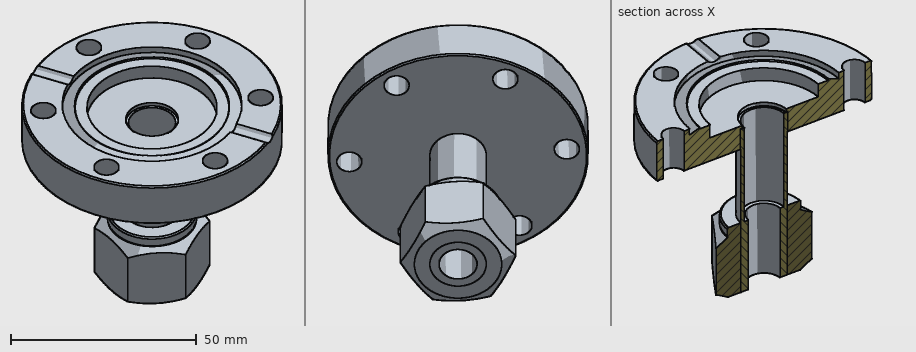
import cadquery as cq
import math

TOTAL_HEIGHT = 59.4
CUT_MARGIN = 0.7

FLANGE_DIAMETER = 70.0
FLANGE_THICKNESS = 13.0
FLANGE_CHAMFER = 0.4
SEAL_RECESS_DIAMETER = 48.3
SEAL_RECESS_DEPTH = 1.9
KNIFE_EDGE_DIAMETER = 41.7
KNIFE_EDGE_DEPTH = 0.8
KNIFE_FOOT_DIAMETER = 41.3
LAND_DEPTH = 1.2
POCKET_DIAMETER = 35.0
POCKET_DEPTH = 5.3
LIP_DIAMETER = 14.15
LIP_THICKNESS = 1.1

BOLT_COUNT = 6
BOLT_HOLE_DIAMETER = 6.7
BOLT_CIRCLE_DIAMETER = 58.65
GROOVE_WIDTH = 3.9
GROOVE_DEPTH = 0.9

TUBE_DIAMETER = 15.2
TUBE_BORE = 12.7
TUBE_END_BORE = 10.2

NUT_TOP_DEPTH = 36.75
NUT_SIDES = 6
NUT_ACROSS_FLATS = 27.0
NUT_CHAMFER_ANGLE = 30.0
NUT_END_DIAMETER = 23.5
COLLAR_DIAMETER = 24.0
COLLAR_HEIGHT = 3.0
COLLAR_CHAMFER = 0.4

tube_top_z = -(POCKET_DEPTH + LIP_THICKNESS)
nut_top_z = -NUT_TOP_DEPTH
hex_top_z = nut_top_z - COLLAR_HEIGHT
bottom_z = -TOTAL_HEIGHT


def cylinder(diameter, z_low, z_high):
    return cq.Workplane("XY", origin=(0, 0, z_low)).circle(diameter / 2).extrude(z_high - z_low)


def revolve_profile(points):
    """Revolve a closed (radius, z) outline about the Z axis."""
    return cq.Workplane("XZ").polyline(points).close().revolve(360, (0, 0, 0), (0, 1, 0))


def make_seal_cutter():
    """Recess, knife edge, inner land and central pocket as one turned shape."""
    return revolve_profile([
        (0, CUT_MARGIN),
        (SEAL_RECESS_DIAMETER / 2, CUT_MARGIN),
        (SEAL_RECESS_DIAMETER / 2, -SEAL_RECESS_DEPTH),
        (KNIFE_EDGE_DIAMETER / 2, -KNIFE_EDGE_DEPTH),
        (KNIFE_FOOT_DIAMETER / 2, -LAND_DEPTH),
        (POCKET_DIAMETER / 2, -LAND_DEPTH),
        (POCKET_DIAMETER / 2, -POCKET_DEPTH),
        (0, -POCKET_DEPTH),
    ])


def make_groove_cutter():
    """Round-bottomed channel along X that crosses both sides of the rim."""
    radius = ((GROOVE_WIDTH / 2) ** 2 + GROOVE_DEPTH ** 2) / (2 * GROOVE_DEPTH)
    length = FLANGE_DIAMETER + 2 * CUT_MARGIN
    return (
        cq.Workplane("YZ", origin=(-length / 2, 0, 0))
        .center(0, radius - GROOVE_DEPTH)
        .circle(radius)
        .extrude(length)
    )


def make_flange():
    flange = cylinder(FLANGE_DIAMETER, -FLANGE_THICKNESS, 0).faces("<Z or >Z").edges().chamfer(FLANGE_CHAMFER)

    grooves = make_groove_cutter().cut(cylinder(SEAL_RECESS_DIAMETER, -FLANGE_THICKNESS, CUT_MARGIN))
    flange = flange.cut(grooves).cut(make_seal_cutter())

    flange = flange.cut(cylinder(LIP_DIAMETER, -FLANGE_THICKNESS, 0))
    flange = flange.cut(cylinder(TUBE_DIAMETER, -FLANGE_THICKNESS, tube_top_z))

    bolt_holes = (
        cq.Workplane("XY", origin=(0, 0, -FLANGE_THICKNESS))
        .polarArray(BOLT_CIRCLE_DIAMETER / 2, 90, 360, BOLT_COUNT)
        .circle(BOLT_HOLE_DIAMETER / 2)
        .extrude(FLANGE_THICKNESS)
    )
    return flange.cut(bolt_holes)


def make_tube():
    """Tube whose bore narrows where the nut surrounds it."""
    tube = cylinder(TUBE_DIAMETER, bottom_z, tube_top_z)
    tube = tube.cut(cylinder(TUBE_BORE, nut_top_z, tube_top_z))
    return tube.cut(cylinder(TUBE_END_BORE, bottom_z, nut_top_z))


def make_nut():
    corner_diameter = NUT_ACROSS_FLATS / math.cos(math.pi / NUT_SIDES)
    hexagon = (
        cq.Workplane("XY", origin=(0, 0, bottom_z))
        .transformed(rotate=(0, 0, 90))
        .polygon(NUT_SIDES, corner_diameter)
        .extrude(hex_top_z - bottom_z)
    )

    end_radius = NUT_END_DIAMETER / 2
    cone_radius = corner_diameter / 2 + CUT_MARGIN
    cone_height = (cone_radius - end_radius) * math.tan(math.radians(NUT_CHAMFER_ANGLE))
    envelope = revolve_profile([
        (0, bottom_z),
        (end_radius, bottom_z),
        (cone_radius, bottom_z + cone_height),
        (cone_radius, hex_top_z - cone_height),
        (end_radius, hex_top_z),
        (0, hex_top_z),
    ])

    collar = cylinder(COLLAR_DIAMETER, hex_top_z, nut_top_z).faces(">Z").edges().chamfer(COLLAR_CHAMFER)
    nut = hexagon.intersect(envelope).union(collar)
    return nut.cut(cylinder(TUBE_DIAMETER, bottom_z, nut_top_z))


flange = make_flange()
tube = make_tube()
nut = make_nut()

result = cq.Compound.makeCompound([flange.val(), tube.val(), nut.val()])